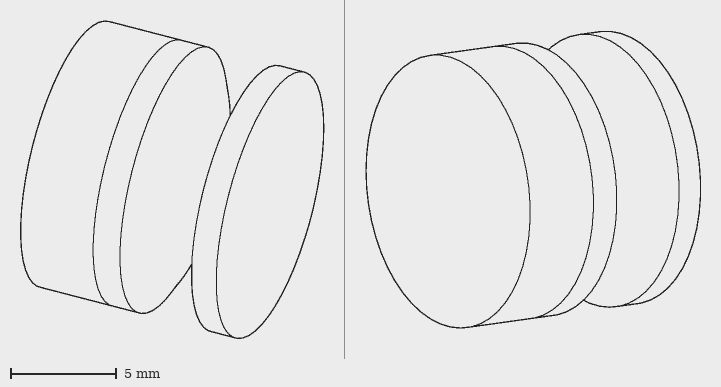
import cadquery as cq
import math

lens_radius = 6.51

joint_x = 3.74
doublet_edge_x = 5.12
doublet_apex_x = 6.99
single_front_x = 7.63
single_total = 3.61
single_edge = 1.28

front_hollow = 0.83

single_bulge = (single_total - single_edge) / 2


def cap_profile_point(rim_x, sag):
    """Point halfway along a spherical face from axis to rim; sag > 0 puts the apex at +X."""
    sphere_radius = (lens_radius**2 + sag**2) / (2 * abs(sag))
    half_angle = math.asin(lens_radius / sphere_radius) / 2
    apex_x = rim_x + sag
    drop = sphere_radius * (1 - math.cos(half_angle))
    return apex_x - math.copysign(drop, sag), sphere_radius * math.sin(half_angle)


def make_lens(front_rim_x, front_sag, back_rim_x, back_sag):
    """Revolve a half section; a zero sag gives a flat face."""
    profile = cq.Workplane("XY").moveTo(front_rim_x + front_sag, 0)
    front_rim = (front_rim_x, lens_radius)
    if front_sag:
        profile = profile.threePointArc(cap_profile_point(front_rim_x, front_sag), front_rim)
    else:
        profile = profile.lineTo(*front_rim)
    profile = profile.lineTo(back_rim_x, lens_radius)
    back_apex = (back_rim_x + back_sag, 0)
    if back_sag:
        profile = profile.threePointArc(cap_profile_point(back_rim_x, back_sag), back_apex)
    else:
        profile = profile.lineTo(*back_apex)
    return profile.close().revolve(360, (0, 0, 0), (1, 0, 0))


front_element = make_lens(0, front_hollow, joint_x, 0)
rear_element = make_lens(joint_x, 0, doublet_edge_x, doublet_apex_x - doublet_edge_x)

single_rim_x = single_front_x + single_bulge
biconvex_lens = make_lens(single_rim_x, -single_bulge, single_rim_x + single_edge, single_bulge)

result = cq.Compound.makeCompound([front_element.val(), rear_element.val(), biconvex_lens.val()])